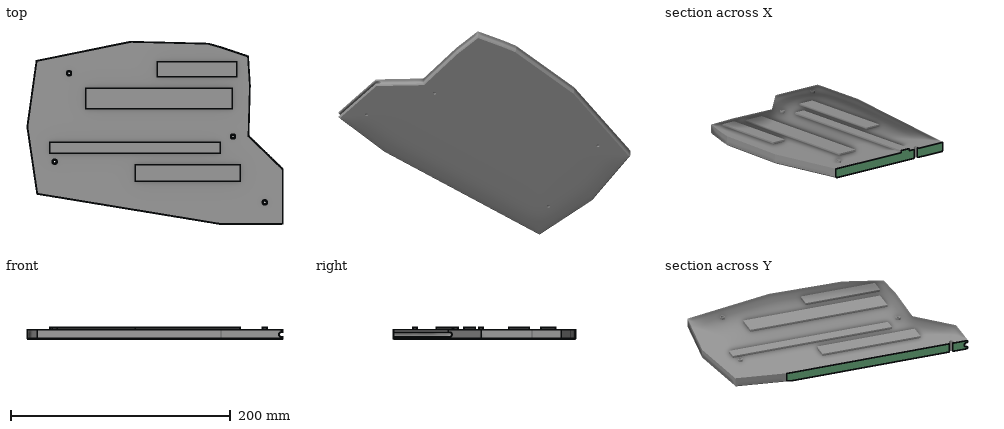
import cadquery as cq

length = 232.85
width = 166.25
height = 11.0

right_edge = length / 2
left_edge = -length / 2
back_edge = width / 2
front_edge = -width / 2

plate_thickness = 9.0
bottom_chamfer = 1.0
plate_outline = [
    (left_edge, 5.5),
    (-108.0, 65.7),
    (-22.2, back_edge),
    (48.5, 81.4),
    (60.4, 78.0),
    (84.9, 69.8),
    (86.6, 43.0),
    (85.3, -2.8),
    (right_edge, -33.0),
    (right_edge, front_edge),
    (59.8, front_edge),
    (-107.4, -55.6),
]

pads = [
    (38.15, 58.05, 72.3, 13.5),
    (3.55, 31.4, 133.5, 19.0),
    (-18.25, -13.5, 155.0, 10.4),
    (29.8, -36.55, 95.4, 15.1),
]
raised_height = height - plate_thickness

boss_diameter = 4.4
bore_diameter = 3.0
boss_centres = [(-78.3, 54.4), (71.1, -3.2), (-91.4, -26.2), (100.1, -63.3)]

groove_height = 4.0
groove_radius = groove_height / 2
groove_centre_z = plate_thickness / 2
groove_centre_inset = 1.5
groove_centre_x = right_edge - groove_centre_inset
step_depth = 0.2


def make_plate():
    plate = cq.Workplane("XY").polyline(plate_outline).close().extrude(plate_thickness)
    return plate.faces("<Z").edges().chamfer(bottom_chamfer)


def make_pad(x, y, pad_length, pad_width):
    top_plane = cq.Workplane("XY").workplane(offset=plate_thickness)
    return top_plane.center(x, y).rect(pad_length, pad_width).extrude(raised_height)


def make_bosses():
    top_plane = cq.Workplane("XY").workplane(offset=plate_thickness)
    return top_plane.pushPoints(boss_centres).circle(boss_diameter / 2).extrude(raised_height)


def make_bores():
    return cq.Workplane("XY").pushPoints(boss_centres).circle(bore_diameter / 2).extrude(height)


def make_groove():
    """U-shaped cutter, open towards +X, running through the plate along Y."""
    top_z = groove_centre_z + groove_radius
    bottom_z = groove_centre_z - groove_radius
    profile = (
        cq.Workplane("XZ")
        .moveTo(right_edge, top_z)
        .lineTo(groove_centre_x, top_z)
        .threePointArc((groove_centre_x - groove_radius, groove_centre_z), (groove_centre_x, bottom_z))
        .lineTo(right_edge, bottom_z)
        .close()
    )
    return profile.extrude(width / 2, both=True)


def make_corner_step():
    """Thin slice off the front face between the groove centre and the right edge."""
    step = cq.Workplane("XY").box(groove_centre_inset, step_depth, plate_thickness, centered=False)
    return step.translate((groove_centre_x, front_edge, 0))


case = make_plate()
for pad in pads:
    case = case.union(make_pad(*pad))
case = case.union(make_bosses())
case = case.cut(make_bores())
case = case.cut(make_groove())
case = case.cut(make_corner_step())

result = cq.Compound.makeCompound([case.solids().val()])